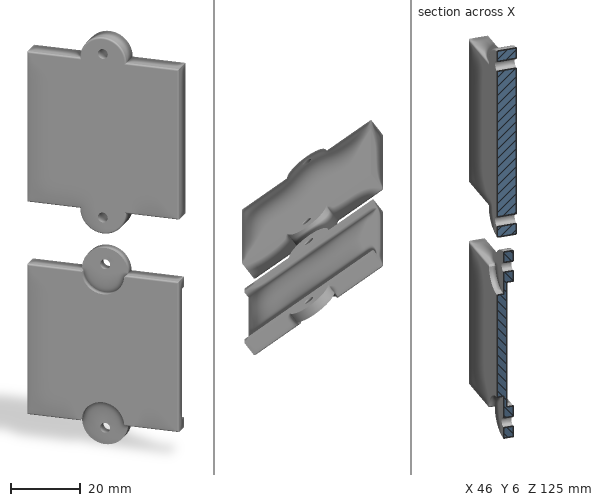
import cadquery as cq

PLATE_SIDE = 46.0
EAR_RADIUS = 7.0
HOLE_DIAMETER = 3.0
HOLE_OFFSET = 2.0
EDGE_FILLET = 0.5
BODY_GAP = 5.0

COVER_THICKNESS = 6.0

BASE_THICKNESS = 5.0
BASE_WEB_THICKNESS = 3.0
RAIL_HEIGHT = 3.0
BASE_EAR_THICKNESS = 3.0
RECESS_RADIUS = EAR_RADIUS - EDGE_FILLET

HALF_SIDE = PLATE_SIDE / 2
BODY_HEIGHT = PLATE_SIDE + 2 * EAR_RADIUS
BODY_CENTER_Z = (BODY_HEIGHT + BODY_GAP) / 2
EDGE_SIGNS = (-1, 1)


def cylinder_along_y(radius, z, front, back):
    """Cylinder on the plate's vertical centre line, from Y = front to Y = back."""
    return cq.Workplane("XZ", origin=(0, front, z)).circle(radius).extrude(front - back)


def square_plate(thickness):
    return cq.Workplane("XY").box(PLATE_SIDE, thickness, PLATE_SIDE).translate((0, thickness / 2, 0))


def drill_ears(body, thickness):
    for sign in EDGE_SIGNS:
        hole_z = sign * (HALF_SIDE + HOLE_OFFSET)
        body = body.cut(cylinder_along_y(HOLE_DIAMETER / 2, hole_z, 0, thickness))
    return body


def make_cover():
    cover = square_plate(COVER_THICKNESS)
    for sign in EDGE_SIGNS:
        cover = cover.union(cylinder_along_y(EAR_RADIUS, sign * HALF_SIDE, 0, COVER_THICKNESS))
    cover = cover.faces("<Y").edges().fillet(EDGE_FILLET)
    return drill_ears(cover, COVER_THICKNESS)


def recess_mouth(sign, depth):
    """Wedge that flares a recess at 45 degrees to the full ear width at the plate edge."""
    edge_z = sign * HALF_SIDE
    inner_z = sign * (HALF_SIDE - EDGE_FILLET)
    outline = [
        (-EAR_RADIUS, edge_z),
        (EAR_RADIUS, edge_z),
        (RECESS_RADIUS, inner_z),
        (-RECESS_RADIUS, inner_z),
    ]
    return cq.Workplane("XZ").polyline(outline).close().extrude(-depth)


def make_base():
    base = square_plate(BASE_THICKNESS)
    base = base.faces("<Y").edges().fillet(EDGE_FILLET)

    ear_front = BASE_THICKNESS - BASE_EAR_THICKNESS
    for sign in EDGE_SIGNS:
        edge_z = sign * HALF_SIDE
        base = base.cut(cylinder_along_y(RECESS_RADIUS, edge_z, 0, ear_front))
        base = base.cut(recess_mouth(sign, ear_front))
        base = base.union(cylinder_along_y(EAR_RADIUS, edge_z, ear_front, BASE_THICKNESS))

    channel_depth = BASE_THICKNESS - BASE_WEB_THICKNESS
    channel_height = PLATE_SIDE - 2 * RAIL_HEIGHT
    channel = cq.Workplane("XY").box(PLATE_SIDE, channel_depth, channel_height)
    base = base.cut(channel.translate((0, BASE_WEB_THICKNESS + channel_depth / 2, 0)))
    return drill_ears(base, BASE_THICKNESS)


cover = make_cover().translate((0, 0, BODY_CENTER_Z))
base = make_base().translate((0, 0, -BODY_CENTER_Z))

result = cq.Compound.makeCompound([cover.val(), base.val()])